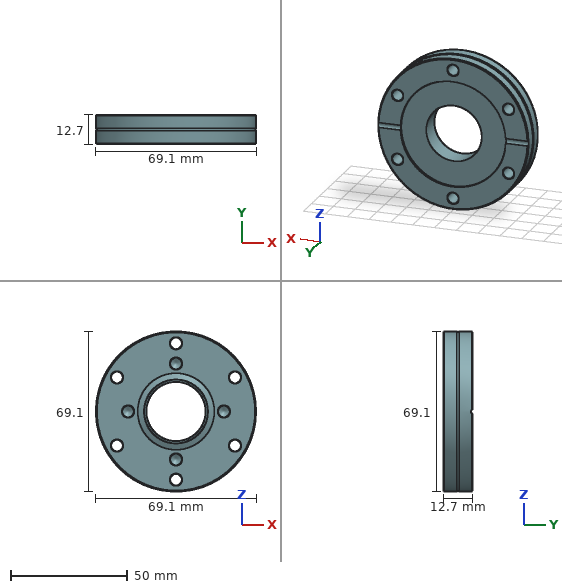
import cadquery as cq
import math

outer_diameter = 69.1
thickness = 12.7
rim_chamfer = 0.5
weld_face_y = -thickness / 2
seal_face_y = thickness / 2

rim_groove_width = 1.0
rim_groove_depth = 0.4

bore_diameter = 25.4
socket_diameter = 27.4
socket_depth = 1.1
lip_diameter = 27.65
lip_setback = 0.55

relief_diameter = 33.02
relief_depth = 1.65

recess_diameter = 48.26
recess_depth = 1.2
leak_groove_width = 2.2
leak_groove_depth = 0.68

hole_diameter = 4.92
hole_mouth_diameter = 5.4
bolt_circle_diameter = 58.7
bolt_count = 6
blind_circle_diameter = 41.3
blind_count = 4
blind_depth = 7.0
drill_tip_angle = 118

FLANGE_AXIS_START = (0, 0, 0)
FLANGE_AXIS_END = (0, 1, 0)


def revolve_about_flange_axis(profile):
    """Close a (radius, y) profile and turn it around the Y axis."""
    return profile.close().revolve(360, FLANGE_AXIS_START, FLANGE_AXIS_END)


def disc():
    """Plain disc with both rims chamfered."""
    blank = cq.Workplane("XZ", origin=(0, seal_face_y, 0)).circle(outer_diameter / 2).extrude(thickness)
    return blank.edges().chamfer(rim_chamfer)


def rim_groove():
    """Ring with an arc section, for the groove around the rim."""
    rim_radius = outer_diameter / 2
    half_width = rim_groove_width / 2
    profile = (
        cq.Workplane("XY")
        .moveTo(rim_radius, -half_width)
        .threePointArc((rim_radius - rim_groove_depth, 0), (rim_radius, half_width))
    )
    return revolve_about_flange_axis(profile)


def weld_relief():
    """Recess that lowers the lip below the weld face and slopes down from it to the relief wall."""
    lip_y = weld_face_y + lip_setback
    floor_y = weld_face_y + relief_depth
    profile = (
        cq.Workplane("XY")
        .moveTo(0, weld_face_y)
        .lineTo(relief_diameter / 2, weld_face_y)
        .lineTo(relief_diameter / 2, floor_y)
        .lineTo(lip_diameter / 2, lip_y)
        .lineTo(0, lip_y)
    )
    return revolve_about_flange_axis(profile)


def cylinder_along_y(diameter, start_y, end_y):
    """Cylinder on the flange axis between two Y positions."""
    return cq.Workplane("XZ", origin=(0, start_y, 0)).circle(diameter / 2).extrude(start_y - end_y)


def leak_check_groove():
    """Round-bottomed groove across the sealing face along X."""
    half_width = leak_groove_width / 2
    return (
        cq.Workplane("YZ", origin=(-outer_diameter / 2, 0, 0))
        .moveTo(seal_face_y, -half_width)
        .threePointArc((seal_face_y - leak_groove_depth, 0), (seal_face_y, half_width))
        .close()
        .extrude(outer_diameter)
    )


def through_hole():
    """Hole on the flange axis, countersunk slightly at both faces."""
    radius = hole_diameter / 2
    mouth_radius = hole_mouth_diameter / 2
    mouth_depth = mouth_radius - radius
    profile = (
        cq.Workplane("XY")
        .moveTo(0, weld_face_y)
        .lineTo(mouth_radius, weld_face_y)
        .lineTo(radius, weld_face_y + mouth_depth)
        .lineTo(radius, seal_face_y - mouth_depth)
        .lineTo(mouth_radius, seal_face_y)
        .lineTo(0, seal_face_y)
    )
    return revolve_about_flange_axis(profile)


def blind_hole():
    """Hole on the flange axis with a countersunk mouth and a drill-tip bottom."""
    radius = hole_diameter / 2
    mouth_radius = hole_mouth_diameter / 2
    mouth_depth = mouth_radius - radius
    tip_length = radius / math.tan(math.radians(drill_tip_angle / 2))
    shoulder_y = weld_face_y + blind_depth
    profile = (
        cq.Workplane("XY")
        .moveTo(0, weld_face_y)
        .lineTo(mouth_radius, weld_face_y)
        .lineTo(radius, weld_face_y + mouth_depth)
        .lineTo(radius, shoulder_y)
        .lineTo(0, shoulder_y + tip_length)
    )
    return revolve_about_flange_axis(profile)


def cut_hole_ring(body, hole, circle_diameter, count):
    """Cut equally spaced copies of a hole, the first one straight up at +Z."""
    first_hole = hole.translate((0, 0, circle_diameter / 2))
    for index in range(count):
        angle = index * 360 / count
        body = body.cut(first_hole.rotate(FLANGE_AXIS_START, FLANGE_AXIS_END, angle))
    return body


flange = disc().cut(rim_groove()).cut(weld_relief())
flange = flange.cut(cylinder_along_y(bore_diameter, weld_face_y, seal_face_y))
flange = flange.cut(cylinder_along_y(socket_diameter, weld_face_y, weld_face_y + socket_depth))
flange = flange.cut(cylinder_along_y(recess_diameter, seal_face_y - recess_depth, seal_face_y))
flange = flange.cut(leak_check_groove())
flange = cut_hole_ring(flange, through_hole(), bolt_circle_diameter, bolt_count)
flange = cut_hole_ring(flange, blind_hole(), blind_circle_diameter, blind_count)

result = flange